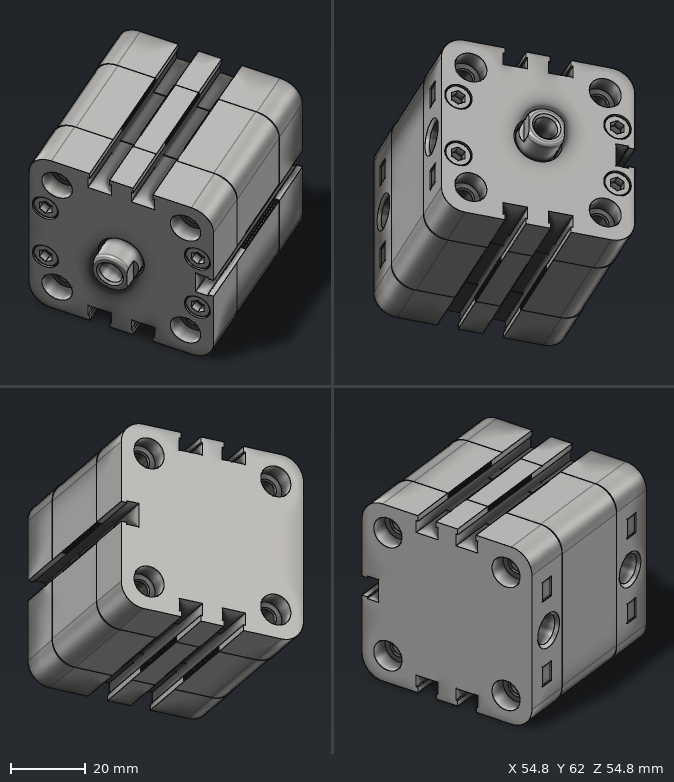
import cadquery as cq
import math


width = 54.8
overall_length = 62
rod_projection = 7.0
housing_length = overall_length - rod_projection
cover_length = 14.45
cover_corner_radius = 6.7
body_corner_radius = 6.95
cover_draft = 0.05

slot_pitch = 12.85
slot_width = 6.95
slot_depth = 5.4
slot_corner_radius = 0.3
neck_width = 5.9
neck_depth = 1.8
rib_height = 0.25
rib_thickness = 0.5
rib_depths = (0.25, 1.05)
rib_front = 20.0
floor_step = 0.25

mount_pitch = 38.0
mount_hole_diameter = 4.9
mount_countersink_diameter = 5.75
mount_bore_diameter = 9.0
mount_bore_depth = 5.35

screw_pitch_x = 45.0
screw_pitch_z = 18.0
screw_recess_diameter = 7.7
screw_recess_depth = 0.9
screw_head_diameter = 7.5
screw_head_chamfer = 0.25
screw_head_setback = 0.3
hex_across_flats = 3.7
hex_depth = 3.0

port_inset = 7.95
port_diameter = 8.55
port_mouth_diameter = 10.4
port_depth = 7.45
air_hole_diameter = 3.0
air_hole_offset = 2.0
air_hole_depth = 3.7
label_inset = 7.2
label_offset_z = 13.1
label_length = 4.3
label_height = 6.0
label_depth = 0.5

rod_diameter = 12.0
rod_fillet = 1.2
rod_across_flats = 10.0
flat_start = 2.8
rod_bore_diameter = 12.5
rod_mouth_diameter = 13.65
rod_clearance_depth = 1.85
thread_diameter = 8.0
thread_core_diameter = 6.65
thread_depth = 12.4
drill_tip_angle = 118

half_width = width / 2
rear_joint = housing_length - cover_length


def grid(pitch_x, pitch_z):
    """Four places in a rectangle around the rod axis."""
    return [(sx * pitch_x / 2, sz * pitch_z / 2) for sx in (-1, 1) for sz in (-1, 1)]


def rod_cylinder(diameter, start, end, x=0, z=0):
    """Cylinder parallel to Y between two Y positions."""
    return cq.Workplane(cq.Solid.makeCylinder(
        diameter / 2, end - start, cq.Vector(x, start, z), cq.Vector(0, 1, 0)))


def rod_cone(start_diameter, end_diameter, start, end, x=0, z=0):
    """Cone parallel to Y between two Y positions."""
    return cq.Workplane(cq.Solid.makeCone(
        start_diameter / 2, end_diameter / 2, end - start, cq.Vector(x, start, z), cq.Vector(0, 1, 0)))


def cover():
    """Front cover, full width at the joint and narrowing slightly towards its outer face."""
    draft_angle = math.degrees(math.atan(cover_draft / cover_length))
    outline = cq.Sketch().rect(width, width).vertices().fillet(cover_corner_radius)
    return (
        cq.Workplane("XZ", origin=(0, cover_length, 0))
        .placeSketch(outline)
        .extrude(cover_length, taper=draft_angle)
    )


def body():
    """Middle section, as wide as the narrow outer ends of the covers."""
    body_width = width - 2 * cover_draft
    body_length = rear_joint - cover_length
    block = cq.Workplane("XY").box(body_width, body_length, body_width, centered=(True, False, True))
    return block.edges("|Y").fillet(body_corner_radius).translate((0, cover_length, 0))


def slot_bar(bar_width, start, end, top_depth, floor_depth):
    """Bar along Y under the +Z face, between two Y positions and two depths below that face."""
    height = floor_depth - top_depth
    bar = cq.Workplane("XY").box(bar_width, end - start, height, centered=(True, False, False))
    return bar.translate((0, start, half_width - floor_depth))


def rounded_chamber(start, end, floor_depth):
    """Wide part of the T-slot inside the body, with rounded floor corners."""
    chamber = slot_bar(slot_width, start, end, neck_depth, floor_depth)
    return chamber.edges("|Y and <Z").fillet(slot_corner_radius)


def t_slot():
    """T-slot opening to +Z over the whole length.

    From the rear joint forwards it has ribs on the neck walls and a slightly deeper floor.
    """
    slot = slot_bar(neck_width, 0, housing_length, 0, neck_depth)
    for depth in rib_depths:
        rib_bottom = depth + rib_thickness
        rib_pair = slot_bar(neck_width, rib_front, rear_joint, depth, rib_bottom).cut(
            slot_bar(neck_width - 2 * rib_height, rib_front, rear_joint, depth, rib_bottom))
        slot = slot.cut(rib_pair)
    return (
        slot
        .union(slot_bar(slot_width, 0, cover_length, neck_depth, slot_depth))
        .union(rounded_chamber(cover_length, rib_front, slot_depth))
        .union(rounded_chamber(rib_front, rear_joint, slot_depth + floor_step))
        .union(slot_bar(slot_width, rear_joint, housing_length, neck_depth, slot_depth))
    )


def mounting_hole(x, z):
    """Through hole, counterbored and countersunk from both covers."""
    sink_depth = (mount_countersink_diameter - mount_hole_diameter) / 2
    half_length = housing_length / 2
    front = rod_cylinder(mount_bore_diameter, 0, mount_bore_depth, x, z).union(
        rod_cone(mount_countersink_diameter, mount_hole_diameter,
                 mount_bore_depth, mount_bore_depth + sink_depth, x, z))
    rear = front.mirror("XZ", (0, half_length, 0))
    return rod_cylinder(mount_hole_diameter, 0, housing_length, x, z).union(front).union(rear)


def screw_recess(x, z):
    """Recess around one socket screw, leaving its chamfered head with a hexagon socket."""
    recess = rod_cylinder(screw_recess_diameter, 0, screw_recess_depth, x, z)
    head = rod_cylinder(screw_head_diameter, screw_head_setback, screw_recess_depth, x, z)
    head = head.faces("<Y").chamfer(screw_head_chamfer)
    hexagon = (
        cq.Workplane("XZ", origin=(x, 0, z))
        .transformed(rotate=(0, 0, 90))
        .polygon(6, hex_across_flats / math.cos(math.pi / 6))
        .extrude(-hex_depth)
    )
    return recess.cut(head).union(hexagon)


def side_cylinder(diameter, depth, y):
    """Blind hole cutter entering from the -X face."""
    return cq.Workplane("YZ", origin=(-half_width, y, 0)).circle(diameter / 2).extrude(depth)


def air_port(y, inward):
    """Blind port with a chamfered mouth and an off-centre air hole in its floor."""
    mouth_depth = (port_mouth_diameter - port_diameter) / 2
    mouth = cq.Workplane(cq.Solid.makeCone(
        port_mouth_diameter / 2, port_diameter / 2, mouth_depth,
        cq.Vector(-half_width, y, 0), cq.Vector(1, 0, 0)))
    air_hole = side_cylinder(air_hole_diameter, port_depth + air_hole_depth, y + inward * air_hole_offset)
    return side_cylinder(port_diameter, port_depth, y).union(mouth).union(air_hole)


def label_pocket(y, z):
    """Shallow rectangular pocket in the -X face."""
    return cq.Workplane("XY").box(2 * label_depth, label_length, label_height).translate((-half_width, y, z))


def piston_rod():
    """Rod end with a rounded tip and two wrench flats."""
    rod = rod_cylinder(rod_diameter, -rod_projection, rod_clearance_depth)
    rod = rod.faces("<Y").edges().fillet(rod_fillet)

    flat_depth = (rod_diameter - rod_across_flats) / 2
    flat_cutter = (
        cq.Workplane("XY")
        .moveTo(rod_across_flats / 2, -rod_projection)
        .lineTo(rod_across_flats / 2, -flat_start)
        .lineTo(rod_across_flats / 2 + 2 * flat_depth, -flat_start + 2 * flat_depth)
        .lineTo(rod_across_flats / 2 + 2 * flat_depth, -rod_projection)
        .close()
        .extrude(rod_diameter / 2, both=True)
    )
    return rod.cut(flat_cutter).cut(flat_cutter.mirror("YZ"))


def threaded_bore():
    """Bore in the rod end with a chamfered mouth and a drill-pointed bottom."""
    mouth_depth = (thread_diameter - thread_core_diameter) / 2
    tip_length = thread_core_diameter / 2 / math.tan(math.radians(drill_tip_angle / 2))
    bore_end = thread_depth - rod_projection
    mouth = rod_cone(thread_diameter, thread_core_diameter, -rod_projection, mouth_depth - rod_projection)
    core = rod_cylinder(thread_core_diameter, -rod_projection, bore_end)
    tip = rod_cone(thread_core_diameter, 0, bore_end, bore_end + tip_length)
    return core.union(mouth).union(tip)


front_cover = cover()
rear_cover = front_cover.mirror("XZ", (0, housing_length / 2, 0))
result = body().union(front_cover).union(rear_cover)

slot = t_slot()
for side in (-1, 1):
    upper_slot = slot.translate((side * slot_pitch / 2, 0, 0))
    result = result.cut(upper_slot).cut(upper_slot.mirror("XY"))
result = result.cut(slot.rotate((0, 0, 0), (0, 1, 0), 90))

for x, z in grid(mount_pitch, mount_pitch):
    result = result.cut(mounting_hole(x, z))

for x, z in grid(screw_pitch_x, screw_pitch_z):
    result = result.cut(screw_recess(x, z))

for end, inward in ((0, 1), (housing_length, -1)):
    result = result.cut(air_port(end + inward * port_inset, inward))
    for side in (-1, 1):
        result = result.cut(label_pocket(end + inward * label_inset, side * label_offset_z))

rod_mouth_depth = (rod_mouth_diameter - rod_bore_diameter) / 2
result = (
    result
    .cut(rod_cylinder(rod_bore_diameter, 0, rod_clearance_depth))
    .cut(rod_cone(rod_mouth_diameter, rod_bore_diameter, 0, rod_mouth_depth))
    .union(piston_rod())
    .cut(threaded_bore())
)